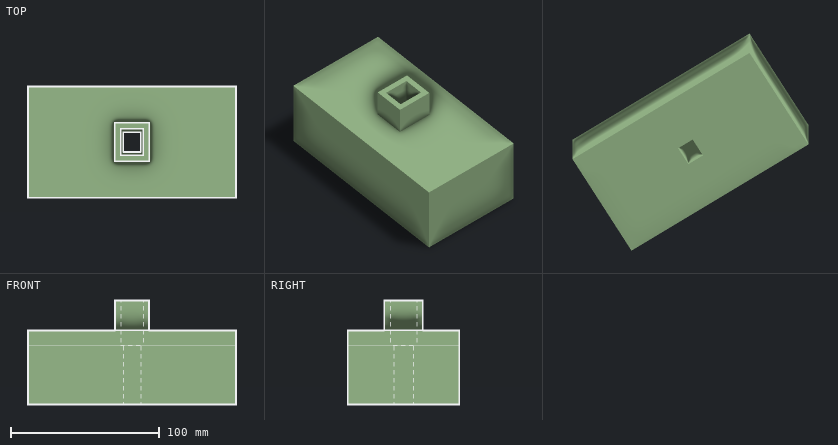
import cadquery as cq

LENGTH = 140.0
WIDTH = 75.0
BODY_HEIGHT = 40.0
LID_THICKNESS = 10.0

NECK_LENGTH = 23.0
NECK_WIDTH = 26.0
NECK_HEIGHT = 20.0
NECK_WALL = 4.0

SOCKET_LENGTH = NECK_LENGTH - 2 * NECK_WALL
SOCKET_WIDTH = NECK_WIDTH - 2 * NECK_WALL

PASSAGE_LENGTH = NECK_LENGTH / 2
PASSAGE_WIDTH = NECK_WIDTH / 2

LID_BOTTOM = BODY_HEIGHT
LID_TOP = LID_BOTTOM + LID_THICKNESS


def centred_box(length, width, height, bottom):
    """Box centred on the Z axis, rising from the given level."""
    return (
        cq.Workplane("XY")
        .workplane(offset=bottom)
        .rect(length, width)
        .extrude(height)
    )


def make_body():
    """Lower block with the narrow passage through it."""
    block = centred_box(LENGTH, WIDTH, BODY_HEIGHT, 0)
    passage = centred_box(PASSAGE_LENGTH, PASSAGE_WIDTH, BODY_HEIGHT, 0)
    return block.cut(passage)


def make_lid():
    """Lid plate and neck, with the socket through both."""
    plate = centred_box(LENGTH, WIDTH, LID_THICKNESS, LID_BOTTOM)
    neck = centred_box(NECK_LENGTH, NECK_WIDTH, NECK_HEIGHT, LID_TOP)
    socket_depth = LID_THICKNESS + NECK_HEIGHT
    socket = centred_box(SOCKET_LENGTH, SOCKET_WIDTH, socket_depth, LID_BOTTOM)
    return plate.union(neck).cut(socket)


result = make_body().union(make_lid(), clean=False)